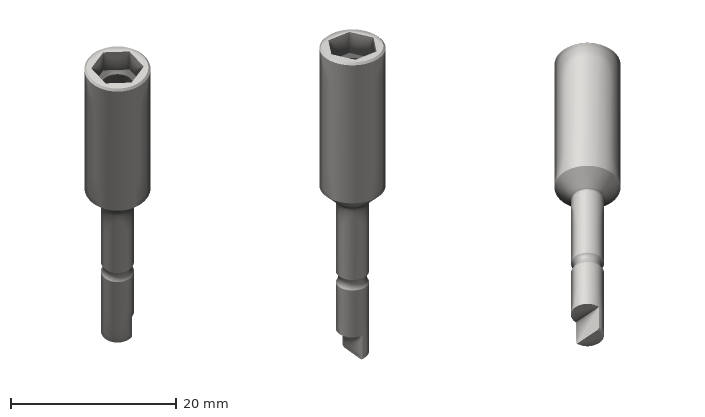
import cadquery as cq

length = 44.0
head_diameter = 8.0
shank_diameter = head_diameter / 2
head_length = 20.0
top_chamfer = 0.25
tip_chamfer = 0.2

hex_across_flats = 5.5
hex_depth = 3.0
bore_diameter = shank_diameter
bore_bottom_z = length - head_length

groove_z = 11.0
groove_width = 1.5
groove_depth = 0.25
flat_length = 3.5

head_radius = head_diameter / 2
shank_radius = shank_diameter / 2
head_base_z = length - head_length
cone_height = head_radius - shank_radius


def make_body():
    """Revolve the half profile, including taper, groove and end chamfers."""
    profile = (
        cq.Workplane("XZ")
        .moveTo(0, 0)
        .lineTo(shank_radius - tip_chamfer, 0)
        .lineTo(shank_radius, tip_chamfer)
        .lineTo(shank_radius, groove_z - groove_width / 2)
        .threePointArc(
            (shank_radius - groove_depth, groove_z),
            (shank_radius, groove_z + groove_width / 2),
        )
        .lineTo(shank_radius, head_base_z - cone_height)
        .lineTo(head_radius, head_base_z)
        .lineTo(head_radius, length - top_chamfer)
        .lineTo(head_radius - top_chamfer, length)
        .lineTo(0, length)
        .close()
    )
    return profile.revolve(360, (0, 0, 0), (0, 1, 0))


def make_socket():
    """Hexagonal recess with corners on the Y axis, plus the bore beneath."""
    hexagon = (
        cq.Workplane("XY", origin=(0, 0, length))
        .polygon(6, hex_across_flats, circumscribed=True)
        .extrude(-hex_depth)
    )
    bore = (
        cq.Workplane("XY", origin=(0, 0, bore_bottom_z))
        .circle(bore_diameter / 2)
        .extrude(length - bore_bottom_z)
    )
    return hexagon.union(bore)


def make_flat_cut():
    """Block that removes the +Y half of the shank tip."""
    return cq.Workplane("XY").box(
        shank_diameter, shank_diameter, flat_length, centered=(True, False, False)
    )


result = make_body().cut(make_socket()).cut(make_flat_cut())